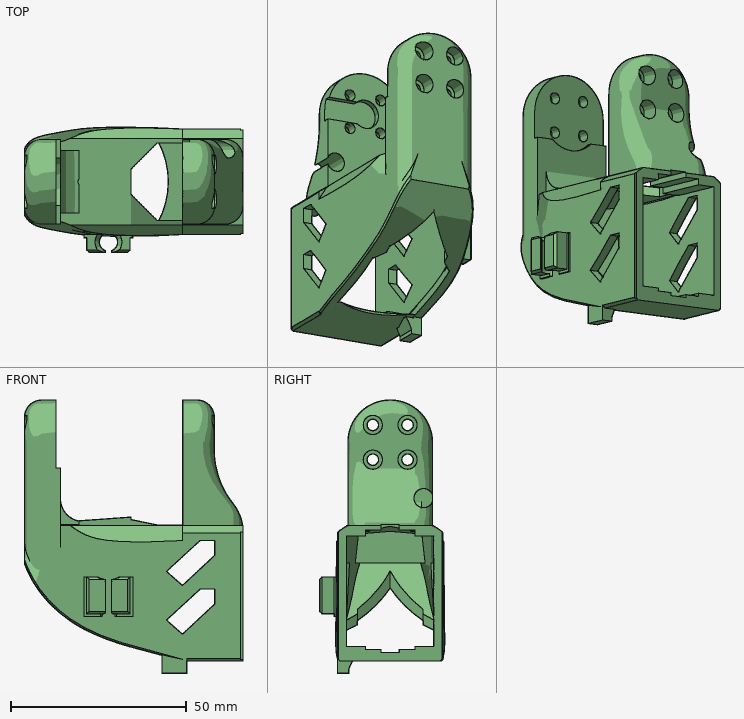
import cadquery as cq
import math

TOTAL_LENGTH = 62.3
TOTAL_HEIGHT = 77.8

ARM_HALF_WIDTH = 12.1
ARM_ROUND_Z = TOTAL_HEIGHT - ARM_HALF_WIDTH
ARM_FILLET = 5.0
ARM_THICKNESS = 9.0
LEFT_ARM_BASE_THICKNESS = 10.35
LEFT_ARM_BOTTOM_Z = 14.95
LEFT_ARM_STEP_Z = 58.5
LEFT_DISC_RADIUS = 9.9

BOX_X = 45.1
BOX_BOTTOM = 3.5
BOX_TOP = 42.0
BOX_HALF_WIDTH = 15.0
BOX_EAVE_Z = 40.8
BOX_CHAMFER = 0.8
REBATE_LENGTH = 0.7
REBATE_DEPTH = 0.27
WALL = 2.65
INNER_HALF_WIDTH = BOX_HALF_WIDTH - WALL
RIGHT_ARM_FACE = BOX_X + ARM_THICKNESS

FLARE_TOP_Z = 63.4
FLARE_RADIUS = 24.1
FLARE_ANGLE = math.radians(39)

TUNNEL_STEPS = [(INNER_HALF_WIDTH, 7.7, 39.1), (7.0, 6.85, 40.8), (2.6, 6.0, 42.35)]

BODY_LOFT_TOP = 45.15
BODY_HALF_WIDTHS = [
    (0, 19.45, 5.05),
    (5.75, 15.95, 10.1),
    (10.35, 15.8, 11.05),
    (15.6, 15.7, 13.15),
    (25.7, 15.65, 15.0),
    (BOX_X, BOX_HALF_WIDTH, BOX_HALF_WIDTH),
]
BELLY_FRONT_Z = 31.4
BELLY_POINTS = [(0, BELLY_FRONT_Z), (6.45, 20.7), (13.1, 14.95), (22.95, 9.9), (37.75, 5.5)]
BELLY_POINTS.append((BOX_X, BOX_BOTTOM))
ROOF_RIDGE_Z = 44.5
ROOF_RIDGE_LOW_Z = 42.35
ROOF_EAVE_Z = BOX_TOP
SHOULDER_Z = 37.8
ROOF_PEAK_X = 30.35

ROOT_END = (15.6, 43.35)
ROOT_TOP_Z = 50.6
ROOT_HALF_WIDTH = 8.95
ROOT_BOTTOM_Z = 40.85

BELLY_CHAMFER = 0.5
FLAT_FLOOR_X = 35.8
FLAT_FLOOR_Z = 5.45

ACROSS = 3 * BOX_HALF_WIDTH
MARGIN = 0.1

ROOF_HOLE_FRONT_HALF = 3.6
ROOF_HOLE_HALF = 11.0
BELLY_APEX_X = 3.65
BELLY_POINT_HALF = 9.35
BELLY_STEP_X = 14.8
BELLY_SHOULDER_X = 17.5
BELLY_END_X = 40.9
BELLY_END_RADIUS = 24.1
BELLY_HOLE_HALF = INNER_HALF_WIDTH

HOLE_PITCH = 9.9
HOLE_OFFSET = HOLE_PITCH / 2
HOLE_DIAMETER = 3.2
COUNTERBORE_DIAMETER = 5.45
SCREW_SEAT = 3.6

HORN_DEPTH = 1.95
HORN_RADIUS = 4.2
HORN_SLOT_HALF = 3.3
CABLE_Y = 9.5
CABLE_Z = 49.9
CABLE_RADIUS = 2.7

WINDOW_PITCH = 13.85
WINDOW_POINTS = [(40.5, 29.0), (50.05, 37.8), (54.2, 37.8), (54.2, 33.6), (45.0, 25.1)]

CLIP_X0, CLIP_X1 = 17.75, 30.1
CLIP_CENTER_X = (CLIP_X0 + CLIP_X1) / 2
CLIP_Z0, CLIP_Z1 = 17.0, 27.5
CLIP_OUTER_Y = -20.1
CLIP_CHAMFER = 0.7
CLIP_BORE_Y = -17.2
CLIP_BORE_RADIUS = 2.6
CLIP_MOUTH_RADIUS = 3.8
CLIP_GAP = 1.8
CLIP_BASE_MARGIN = 0.8
CLIP_BASE_Y = -15.95

FOOT_X0, FOOT_X1 = 39.15, 46.2
FOOT_INNER_Y = -11.75
FOOT_FLARE_Y = -9.9
FOOT_FLARE_Z = 1.2
FOOT_FLARE_BOW = 0.55


def box(x0, x1, y0, y1, z0, z1):
    return cq.Workplane("XY").box(x1 - x0, y1 - y0, z1 - z0, centered=False).translate((x0, y0, z0))


def x_cylinder(radius, x0, x1, y, z):
    return cq.Workplane("YZ", origin=(x0, y, z)).circle(radius).extrude(x1 - x0)


def side_edges(x0, x1, z0, z1):
    """Selector for edges centred on either side of the part, away from the symmetry plane."""
    inner = ARM_HALF_WIDTH / 2
    left = cq.selectors.BoxSelector((x0, -ACROSS, z0), (x1, -inner, z1))
    right = cq.selectors.BoxSelector((x0, inner, z0), (x1, ACROSS, z1))
    return left + right


def arm_outline(x0, x1, bottom_z):
    """Round-topped plate standing across the part."""
    return (
        cq.Workplane("YZ", origin=(x0, 0, 0))
        .moveTo(-ARM_HALF_WIDTH, bottom_z)
        .lineTo(-ARM_HALF_WIDTH, ARM_ROUND_Z)
        .threePointArc((0, TOTAL_HEIGHT), (ARM_HALF_WIDTH, ARM_ROUND_Z))
        .lineTo(ARM_HALF_WIDTH, bottom_z)
        .close()
        .extrude(x1 - x0)
    )


def left_arm():
    """Rounded arm, thinner above a step, with a round recess in its inner face."""
    arm = arm_outline(0, LEFT_ARM_BASE_THICKNESS, LEFT_ARM_BOTTOM_Z)
    arm = arm.faces("<X").edges("not <Z").fillet(ARM_FILLET)
    step = box(
        ARM_THICKNESS, LEFT_ARM_BASE_THICKNESS, -ARM_HALF_WIDTH, ARM_HALF_WIDTH, LEFT_ARM_STEP_Z, TOTAL_HEIGHT
    )
    disc = x_cylinder(LEFT_DISC_RADIUS, ARM_THICKNESS, LEFT_ARM_BASE_THICKNESS, 0, ARM_ROUND_Z)
    return arm.cut(step).cut(disc).intersect(above_belly(0))


def right_arm():
    """Rounded arm whose outer face flares out to the end of the box."""

    def bend(angle):
        """Point on the concave flare, which starts upright at FLARE_TOP_Z."""
        x = RIGHT_ARM_FACE + FLARE_RADIUS * (1 - math.cos(angle))
        return x, FLARE_TOP_Z - FLARE_RADIUS * math.sin(angle)

    turn_x, turn_z = bend(FLARE_ANGLE)
    toe_radius = (TOTAL_LENGTH - turn_x) / (1 - math.cos(FLARE_ANGLE))
    toe_z = turn_z - toe_radius * math.sin(FLARE_ANGLE)
    toe_middle = (
        TOTAL_LENGTH - toe_radius * (1 - math.cos(FLARE_ANGLE / 2)),
        toe_z + toe_radius * math.sin(FLARE_ANGLE / 2),
    )
    profile = (
        cq.Workplane("XZ", origin=(0, ARM_HALF_WIDTH, 0))
        .moveTo(BOX_X, toe_z)
        .lineTo(BOX_X, TOTAL_HEIGHT)
        .lineTo(RIGHT_ARM_FACE, TOTAL_HEIGHT)
        .lineTo(RIGHT_ARM_FACE, FLARE_TOP_Z)
        .threePointArc(bend(FLARE_ANGLE / 2), (turn_x, turn_z))
        .threePointArc(toe_middle, (TOTAL_LENGTH, toe_z))
        .close()
        .extrude(2 * ARM_HALF_WIDTH)
    )
    arm = arm_outline(BOX_X, TOTAL_LENGTH, toe_z).intersect(profile)

    near_x = RIGHT_ARM_FACE - MARGIN
    rim_z = toe_z + MARGIN
    rim = side_edges(near_x, TOTAL_LENGTH, rim_z, TOTAL_HEIGHT)
    top = TOTAL_HEIGHT + MARGIN
    rim += cq.selectors.BoxSelector((near_x, -ACROSS, ARM_ROUND_Z), (TOTAL_LENGTH, ACROSS, top))
    return arm.edges(rim).fillet(ARM_FILLET)


def body_sides(inset):
    """Ruled block between a wide lower plan and an upper plan that narrows towards the left arm."""

    def plan(z, half_widths):
        right = [(x, w - inset) for x, w in half_widths]
        left = [(x, -w) for x, w in right]
        outline = cq.Workplane("XY", origin=(0, 0, z)).moveTo(*left[0])
        outline = outline.spline(left[1:], includeCurrent=True).lineTo(*right[-1])
        return outline.spline(right[-2::-1], includeCurrent=True).close().val()

    lower = plan(BOX_BOTTOM, [(x, low) for x, low, high in BODY_HALF_WIDTHS])
    upper = plan(BODY_LOFT_TOP, [(x, high) for x, low, high in BODY_HALF_WIDTHS])
    return cq.Workplane(cq.Solid.makeLoft([lower, upper], True))


def above_belly(inset):
    """Space above the curved belly, which moves inwards by the inset."""
    shift = inset / math.sqrt(2)
    belly = [(x + shift, z + shift) for x, z in BELLY_POINTS]
    return (
        cq.Workplane("XZ", origin=(0, ACROSS / 2, 0))
        .moveTo(shift, TOTAL_HEIGHT)
        .lineTo(*belly[0])
        .spline(belly[1:], includeCurrent=True)
        .lineTo(TOTAL_LENGTH, BOX_BOTTOM + shift)
        .lineTo(TOTAL_LENGTH, TOTAL_HEIGHT)
        .close()
        .extrude(ACROSS)
    )


def below_roof(drop):
    """Space under the lowered roof: bevelled shoulders and a ridge that rises towards the roof hole."""
    widest = 2 * BOX_HALF_WIDTH
    shoulder_slope = (ROOF_EAVE_Z - SHOULDER_Z) / WALL
    wide_z = SHOULDER_Z - shoulder_slope * (widest - BOX_HALF_WIDTH)
    half = [(INNER_HALF_WIDTH, ROOF_EAVE_Z - drop), (widest, wide_z - drop), (widest, wide_z - TOTAL_HEIGHT)]
    mirrored = [(-y, z) for y, z in reversed(half)]

    def section(x, ridge_z):
        outline = cq.Workplane("YZ", origin=(x, 0, 0)).polyline([(0, ridge_z - drop)] + half + mirrored)
        return outline.close().val()

    low = section(0, ROOF_RIDGE_LOW_Z)
    peak = section(ROOF_PEAK_X, ROOF_RIDGE_Z)
    rear = section(BOX_X, ROOF_RIDGE_Z)
    return cq.Workplane(cq.Solid.makeLoft([low, peak, rear], True))


def arm_root():
    """Concave blend between the inner face of the left arm and the roof."""
    start = LEFT_ARM_BASE_THICKNESS
    reach = ROOT_END[0] - start
    rise = ROOT_TOP_Z - ROOT_END[1]
    lean = math.sqrt(0.5)
    middle = (ROOT_END[0] - reach * lean, ROOT_TOP_Z - rise * lean)
    return (
        cq.Workplane("XZ", origin=(0, ROOT_HALF_WIDTH, 0))
        .moveTo(start, ROOT_TOP_Z)
        .threePointArc(middle, ROOT_END)
        .lineTo(ROOT_END[0], ROOT_BOTTOM_Z)
        .lineTo(ARM_THICKNESS, ROOT_BOTTOM_Z)
        .lineTo(ARM_THICKNESS, ROOT_TOP_Z)
        .close()
        .extrude(2 * ROOT_HALF_WIDTH)
    )


def roof_hole():
    """Opening in the roof, with slanted front corners and reaching back to the arm."""
    slant = ROOF_HOLE_HALF - ROOF_HOLE_FRONT_HALF
    corner_x = ROOF_PEAK_X + slant
    return (
        cq.Workplane("XY", origin=(0, 0, BELLY_FRONT_Z))
        .moveTo(ROOF_PEAK_X, -ROOF_HOLE_FRONT_HALF)
        .lineTo(corner_x, -ROOF_HOLE_HALF)
        .lineTo(BOX_X, -ROOF_HOLE_HALF)
        .lineTo(BOX_X, ROOF_HOLE_HALF)
        .lineTo(corner_x, ROOF_HOLE_HALF)
        .lineTo(ROOF_PEAK_X, ROOF_HOLE_FRONT_HALF)
        .close()
        .extrude(TOTAL_HEIGHT)
    )


def belly_hole():
    """Opening through the belly: a right-angled point in front and a round rear edge."""
    point_x = BELLY_APEX_X + BELLY_POINT_HALF
    sagitta = BELLY_END_RADIUS - math.sqrt(BELLY_END_RADIUS**2 - BELLY_HOLE_HALF**2)
    rear_x = BELLY_END_X - sagitta
    return (
        cq.Workplane("XY")
        .moveTo(BELLY_APEX_X, 0)
        .lineTo(point_x, -BELLY_POINT_HALF)
        .lineTo(BELLY_STEP_X, -BELLY_POINT_HALF)
        .lineTo(BELLY_SHOULDER_X, -BELLY_HOLE_HALF)
        .lineTo(rear_x, -BELLY_HOLE_HALF)
        .threePointArc((BELLY_END_X, 0), (rear_x, BELLY_HOLE_HALF))
        .lineTo(BELLY_SHOULDER_X, BELLY_HOLE_HALF)
        .lineTo(BELLY_STEP_X, BELLY_POINT_HALF)
        .lineTo(point_x, BELLY_POINT_HALF)
        .close()
        .extrude(BELLY_FRONT_Z)
    )


def rear_box():
    """Box with a roof that slopes outwards beside the arm, chamfered lower edges and a rebated end."""
    half = [
        (0, BOX_TOP),
        (INNER_HALF_WIDTH, BOX_TOP),
        (BOX_HALF_WIDTH - BOX_CHAMFER, BOX_EAVE_Z),
        (BOX_HALF_WIDTH, BOX_EAVE_Z - BOX_CHAMFER),
        (BOX_HALF_WIDTH, BOX_BOTTOM + BOX_CHAMFER),
        (BOX_HALF_WIDTH - BOX_CHAMFER, BOX_BOTTOM),
    ]
    mirrored = [(-y, z) for y, z in reversed(half[1:])]
    block = cq.Workplane("YZ", origin=(BOX_X, 0, 0)).polyline(half + mirrored).close()
    block = block.extrude(TOTAL_LENGTH - BOX_X)
    rebate_x = TOTAL_LENGTH - REBATE_LENGTH
    rebate_y = BOX_HALF_WIDTH - REBATE_DEPTH
    for y0, y1 in ((-BOX_HALF_WIDTH, -rebate_y), (rebate_y, BOX_HALF_WIDTH)):
        block = block.cut(box(rebate_x, TOTAL_LENGTH, y0, y1, BOX_BOTTOM, BOX_TOP))
    return block


def tunnel():
    """Passage through the box whose floor and ceiling step apart towards the middle."""
    steps = cq.Workplane("XY")
    for half_width, floor, ceiling in TUNNEL_STEPS:
        steps = steps.union(box(BOX_X, TOTAL_LENGTH, -half_width, half_width, floor, ceiling))
    return steps


def screw_hole(x_outer, x_seat, x_inner, y, z):
    """Clearance hole with a counterbore from the outer face down to the seat."""
    hole = x_cylinder(HOLE_DIAMETER / 2, x_outer, x_inner, y, z)
    return hole.union(x_cylinder(COUNTERBORE_DIAMETER / 2, x_outer, x_seat, y, z))


def horn_recess():
    """Round pocket with a slot that leaves through the +Y edge of the arm."""
    end = BOX_X + HORN_DEPTH
    slot = box(BOX_X, end, 0, ARM_HALF_WIDTH, ARM_ROUND_Z - HORN_SLOT_HALF, ARM_ROUND_Z + HORN_SLOT_HALF)
    return slot.union(x_cylinder(HORN_RADIUS, BOX_X, end, 0, ARM_ROUND_Z))


def side_window(drop):
    points = [(x, z - drop) for x, z in WINDOW_POINTS]
    return cq.Workplane("XZ", origin=(0, ACROSS / 2, 0)).polyline(points).close().extrude(ACROSS)


def cable_clip():
    """Split block on the -Y side with a vertical bore that widens at its top."""
    clip = box(CLIP_X0, CLIP_X1, CLIP_OUTER_Y, -BOX_HALF_WIDTH, CLIP_Z0, CLIP_Z1)
    clip = clip.faces("<Y").edges().chamfer(CLIP_CHAMFER)
    base = box(
        CLIP_X0 - CLIP_BASE_MARGIN,
        CLIP_X1 + CLIP_BASE_MARGIN,
        CLIP_BASE_Y,
        -BOX_HALF_WIDTH,
        CLIP_Z0 - CLIP_BASE_MARGIN,
        CLIP_Z1,
    )
    clip = clip.union(base)
    center = (CLIP_CENTER_X, CLIP_BORE_Y)
    bore = cq.Workplane("XY").circle(CLIP_BORE_RADIUS).extrude(CLIP_Z1)
    mouth_depth = CLIP_MOUTH_RADIUS - CLIP_BORE_RADIUS
    mouth_base = cq.Vector(0, 0, CLIP_Z1 - mouth_depth)
    mouth = cq.Workplane(cq.Solid.makeCone(CLIP_BORE_RADIUS, CLIP_MOUTH_RADIUS, mouth_depth, mouth_base))
    half_gap = CLIP_GAP / 2
    gap = box(
        CLIP_CENTER_X - half_gap, CLIP_CENTER_X + half_gap, CLIP_OUTER_Y, CLIP_BORE_Y, CLIP_Z0, CLIP_Z1
    )
    return clip.cut(bore.union(mouth).translate(center + (0,))).cut(gap)


def foot():
    """Tab under the -Y wall, with a concave flare on its inner side and a web into the wall."""
    reach = FOOT_FLARE_Y - FOOT_INNER_Y
    top = BOX_BOTTOM + WALL / 2
    rise = top - FOOT_FLARE_Z
    middle = (FOOT_FLARE_Y - reach * FOOT_FLARE_BOW, FOOT_FLARE_Z + rise * FOOT_FLARE_BOW)
    tab = (
        cq.Workplane("YZ", origin=(FOOT_X0, 0, 0))
        .moveTo(-BOX_HALF_WIDTH, 0)
        .lineTo(FOOT_INNER_Y, 0)
        .lineTo(FOOT_INNER_Y, FOOT_FLARE_Z)
        .threePointArc(middle, (FOOT_FLARE_Y, top))
        .lineTo(-BOX_HALF_WIDTH, top)
        .close()
        .extrude(FOOT_X1 - FOOT_X0)
    )
    web = box(FOOT_X0, BOX_X, -BOX_HALF_WIDTH, -INNER_HALF_WIDTH, BOX_BOTTOM, BOX_BOTTOM + WALL)
    return tab.union(web)


body = body_sides(0).intersect(above_belly(0)).intersect(below_roof(0))
lip = side_edges(MARGIN, BOX_X - MARGIN, 0, BELLY_FRONT_Z - MARGIN)
body = body.edges(lip).chamfer(BELLY_CHAMFER)
hollow = body_sides(WALL).intersect(above_belly(WALL)).intersect(below_roof(WALL))
lower_hollow = hollow.intersect(box(0, BOX_X, -BOX_HALF_WIDTH, BOX_HALF_WIDTH, 0, BELLY_FRONT_Z))

part = body.union(rear_box())
part = part.cut(hollow).cut(roof_hole())
part = part.union(left_arm()).union(arm_root()).union(right_arm())
part = part.cut(lower_hollow).cut(belly_hole())
part = part.cut(box(FLAT_FLOOR_X, BOX_X, -INNER_HALF_WIDTH, INNER_HALF_WIDTH, FLAT_FLOOR_Z, SHOULDER_Z))
part = part.cut(tunnel())
part = part.union(foot()).union(cable_clip())

for y in (-HOLE_OFFSET, HOLE_OFFSET):
    for z in (ARM_ROUND_Z - HOLE_OFFSET, ARM_ROUND_Z + HOLE_OFFSET):
        part = part.cut(screw_hole(0, ARM_THICKNESS - SCREW_SEAT, LEFT_ARM_BASE_THICKNESS, y, z))
        part = part.cut(screw_hole(TOTAL_LENGTH, BOX_X + SCREW_SEAT, BOX_X, y, z))

part = part.cut(horn_recess())
part = part.cut(x_cylinder(CABLE_RADIUS, BOX_X, TOTAL_LENGTH, CABLE_Y, CABLE_Z))

for drop in (0, WINDOW_PITCH):
    part = part.cut(side_window(drop))

result = cq.Workplane(part.solids().val())